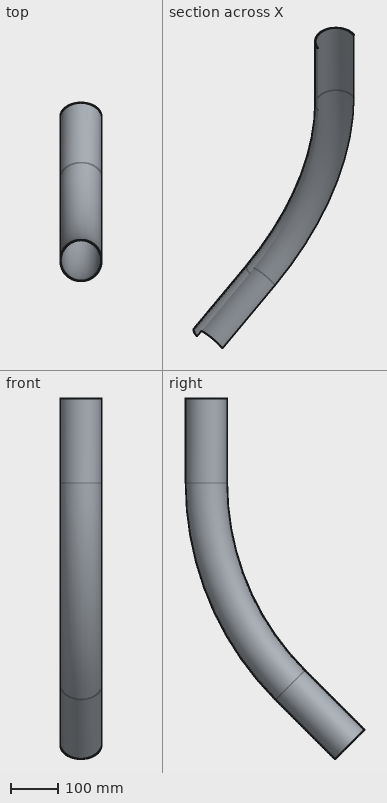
import cadquery as cq
import math

outer_diameter = 89.0
inner_diameter = 85.0
overall_height = 766.0
straight_length = 179.0
bend_angle = 45.0

bend_sin = math.sin(math.radians(bend_angle))
bend_cos = math.cos(math.radians(bend_angle))

rim_rise = outer_diameter / 2 * bend_sin
bend_height = overall_height - straight_length * (1 + bend_cos) - rim_rise
bend_radius = bend_height / bend_sin

half_sin = math.sin(math.radians(bend_angle / 2))
half_cos = math.cos(math.radians(bend_angle / 2))
bend_start = (0, -straight_length)
bend_middle = (bend_radius * (1 - half_cos), -straight_length - bend_radius * half_sin)
bend_end = (bend_radius * (1 - bend_cos), -straight_length - bend_height)
lower_end = (bend_end[0] + straight_length * bend_sin, bend_end[1] - straight_length * bend_cos)

centreline = (
    cq.Workplane("YZ")
    .moveTo(0, 0)
    .lineTo(*bend_start)
    .threePointArc(bend_middle, bend_end)
    .lineTo(*lower_end)
)

result = (
    cq.Workplane("XY")
    .circle(outer_diameter / 2)
    .circle(inner_diameter / 2)
    .sweep(centreline)
)